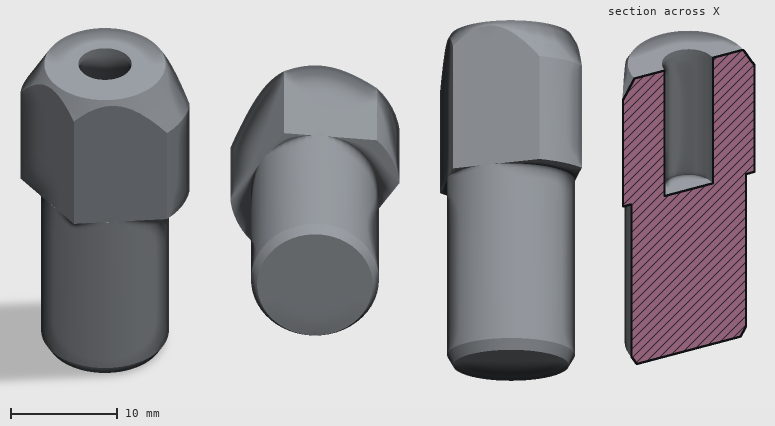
import cadquery as cq
import math

total_height = 32.0
head_height = 14.0
head_diameter = 16.0
head_corner_width = 13.8
flat_angle = 30.0
cone_height = 4.0
cone_half_angle = 30.0

shank_diameter = 12.0
tip_chamfer_height = 1.0
tip_half_angle = 30.0

bore_diameter = 5.0
bore_depth = head_height

shank_height = total_height - head_height


def inset(height, half_angle):
    """Radius lost over a conical length."""
    return height * math.tan(math.radians(half_angle))


def make_shank():
    radius = shank_diameter / 2
    tip_radius = radius - inset(tip_chamfer_height, tip_half_angle)
    profile = [
        (0, 0),
        (tip_radius, 0),
        (radius, tip_chamfer_height),
        (radius, shank_height),
        (0, shank_height),
    ]
    return cq.Workplane("XZ").polyline(profile).close().revolve(360, (0, 0), (0, 1))


def make_head():
    half_width = head_corner_width / 2
    half_length = half_width / math.tan(math.radians(flat_angle))
    corners = [(half_length, 0), (0, half_width), (-half_length, 0), (0, -half_width)]
    flats = (
        cq.Workplane("XY", origin=(0, 0, shank_height))
        .polyline(corners)
        .close()
        .extrude(head_height)
    )
    radius = head_diameter / 2
    top_radius = radius - inset(cone_height, cone_half_angle)
    profile = [
        (0, shank_height),
        (radius, shank_height),
        (radius, total_height - cone_height),
        (top_radius, total_height),
        (0, total_height),
    ]
    blank = cq.Workplane("XZ").polyline(profile).close().revolve(360, (0, 0), (0, 1))
    return flats.intersect(blank)


def make_bore():
    return (
        cq.Workplane("XY", origin=(0, 0, total_height - bore_depth))
        .circle(bore_diameter / 2)
        .extrude(bore_depth)
    )


result = make_shank().union(make_head()).cut(make_bore())